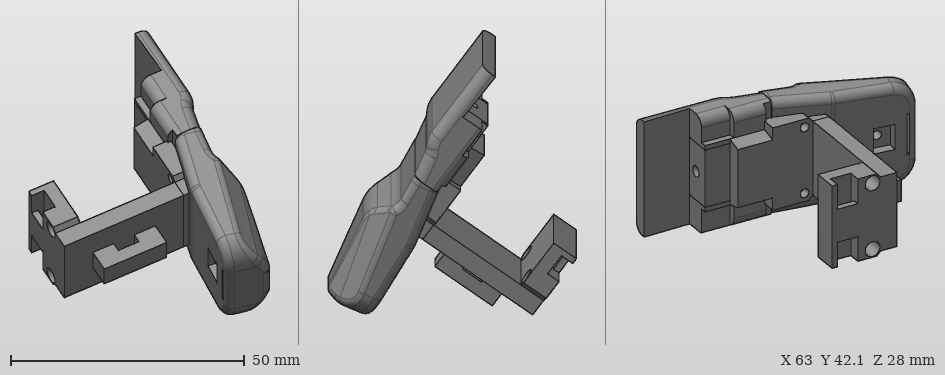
import cadquery as cq
import math


half_width = 14.0
handle_end_x = 28.4
plate_tip_y = -3.4
plate_root_y = -3.1
block_start_x = 11.4
block_front_y = -9.65
back_flat_end_x = 18.5
back_arc_mid = (20.6, -0.4)
back_arc_end = (22.3, -1.35)
joint_back_y = -2.65
back_kink_radius = 3.0
handle_back_radius = 2.6
front_radius = 2.4
recess_end_x = 18.5
recess_y = -8.1
recess_half_gap = 8.05
rebate_start_x = 26.5
rebate_y = -8.5

slide_half_width = 6.95

base_start_x = 17.5
base_wide_start_x = 26.1
base_front_y = -13.1
base_half_width = 10.0
dovetail_root_half = 8.0
dovetail_tip_half = 7.05

arm_start_x = 36.0
arm_end_x = 40.0
arm_half_width = 9.0
shoulder_x = arm_start_x - (base_half_width - arm_half_width)
arm_tip_y = -42.1
foot_start_x = 24.0
foot_depth = 6.0
screw_x = 34.0
screw_z = 8.0
base_hole_diameter = 2.1
foot_hole_diameter = 3.6
strap_slot_length = 5.0
foot_slot_start_x = 25.35
foot_slot_y = -39.1
foot_slot_width = 1.5
foot_slot_half_gap = 4.0
loop_width = 5.1
loop_start_y = -20.0
loop_end_y = -35.15
loop_half_height = 2.6
loop_slot_start_y = -25.1
loop_slot_width = 2.1

joint_front_y = -8.9
base_thickness = joint_front_y - base_front_y
front_slope = math.tan(math.radians(14.0))
bend_x = 41.6
bend_y = joint_front_y - front_slope * (bend_x - handle_end_x)
tip_front_slope = 0.1
bend_radius = 5.5
beyond_tip_x = 66.0
waist = (35.94, -3.6)
waist_radius = 4.5
crest = (41.9, 0.02)
crest_radius = 5.9
back_slope = 0.2
grip_front_radius = 2.0
grip_back_radius = 1.8
rim_lean = 0.25
flank_lean = 0.6

grip_tilt = 12.0
grip_origin = (handle_end_x, -5.7, 0.0)
grip_length = 33.84
taper_start = 0.8
taper_slope = 0.061
tip_corner_radius = 6.0
ridge_half_width = 8.4
flank_foot_half = 13.0
envelope_start = (-8.0, 6.1, 9.5)
envelope_end = (40.0, 0.95, 5.25)
outline_overlap = 5.0
outline_reach = 20.0
envelope_half = 16.0

pocket_x = 53.5
pocket_size = (5.0, 6.1)
pocket_depth = 2.4
cone_x = 52.85
slit_x = 59.05
slit_size = (0.6, 9.8)
slit_depth = 3.5

cone_tip_diameter = 0.01
grip_cone_diameter = 2.1
grip_cone_length = 6.0
slide_cone_diameter = 2.6
slide_cone_length = 12.0
slide_cone_y = -5.7

edge_tolerance = 0.1


def box(x_range, y_range, z_range):
    """Axis-aligned box from three (low, high) ranges."""
    sizes = [high - low for low, high in (x_range, y_range, z_range)]
    corner = (x_range[0], y_range[0], z_range[0])
    return cq.Workplane("XY").box(*sizes, centered=False).translate(corner)


def extrude_z(outline, half_height):
    """Extrude an XY outline evenly to both sides of the mid-plane."""
    return outline.extrude(half_height, both=True)


def cylinder_y(x, z, diameter, y_start, length):
    """Round cutter starting at y_start and running towards +Y."""
    direction = cq.Vector(0, 1, 0)
    return cq.Workplane(cq.Solid.makeCylinder(diameter / 2, length, cq.Vector(x, y_start, z), direction))


def tapered_cutter(diameter, length, mouth, direction):
    """Conical cutter that narrows from its mouth to a near point."""
    cone = cq.Solid.makeCone(diameter / 2, cone_tip_diameter / 2, length, mouth, direction)
    return cq.Workplane(cone)


def make_slide_space():
    """Block that fills the slot in the handle."""
    return box(
        (block_start_x, rebate_start_x),
        (block_front_y, plate_root_y),
        (-slide_half_width, slide_half_width),
    )


def make_slide():
    """Insert in the handle slot, with a tapered hole in its end face."""
    mouth = cq.Vector(block_start_x, slide_cone_y, 0)
    cone = tapered_cutter(slide_cone_diameter, slide_cone_length, mouth, cq.Vector(1, 0, 0))
    return make_slide_space().cut(cone)


def make_upper_recess():
    """Cutter for the upper recess, which leaves a rounded top corner on the block."""
    bulge = front_radius * math.sqrt(0.5)
    corner_y = recess_y + front_radius
    corner_z = half_width - front_radius
    return (
        cq.Workplane("YZ", origin=(block_start_x, 0, 0))
        .moveTo(block_front_y, recess_half_gap)
        .lineTo(recess_y, recess_half_gap)
        .lineTo(recess_y, corner_z)
        .threePointArc((corner_y - bulge, corner_z + bulge), (corner_y, half_width))
        .lineTo(block_front_y, half_width)
        .close()
        .extrude(recess_end_x - block_start_x)
    )


def make_handle(slide_space):
    """Flat plate with a thicker block, stepped to meet the base and slotted for the slide insert."""
    outline = (
        cq.Workplane("XY")
        .moveTo(0, 0)
        .lineTo(back_flat_end_x, 0)
        .threePointArc(back_arc_mid, back_arc_end)
        .lineTo(handle_end_x, joint_back_y)
        .lineTo(handle_end_x, block_front_y)
        .lineTo(block_start_x, block_front_y)
        .lineTo(block_start_x, plate_root_y)
        .lineTo(0, plate_tip_y)
        .close()
    )
    handle = extrude_z(outline, half_width)
    kink = cq.selectors.NearestToPointSelector((back_arc_end[0], back_arc_end[1], 0))
    handle = handle.edges("|Z").edges(kink).fillet(back_kink_radius)
    back_edges = cq.selectors.BoxSelector(
        (edge_tolerance, joint_back_y, -half_width - edge_tolerance),
        (handle_end_x - edge_tolerance, edge_tolerance, half_width + edge_tolerance),
    )
    handle = handle.faces("|Z").edges(back_edges).fillet(handle_back_radius)
    handle = handle.faces("<Y").edges("|X").fillet(front_radius)

    lower_recess = box(
        (block_start_x, recess_end_x), (block_front_y, recess_y), (-half_width, -recess_half_gap)
    )
    rebate = box((rebate_start_x, handle_end_x), (block_front_y, rebate_y), (-half_width, half_width))
    return handle.cut(lower_recess).cut(make_upper_recess()).cut(rebate).cut(slide_space)


def tilted_plane(distance):
    """Plane across the tilted grip axis: local x is -Z, local y is the grip's back direction."""
    angle = math.radians(grip_tilt)
    axis = cq.Vector(math.cos(angle), -math.sin(angle), 0)
    return cq.Plane(cq.Vector(*grip_origin) + axis * distance, (0, 0, -1), axis)


def make_grip_profile():
    """Side profile of the grip, with its waist, crest and front bend rounded."""
    profile = (
        cq.Workplane("XY")
        .moveTo(handle_end_x, joint_back_y)
        .lineTo(*waist)
        .lineTo(*crest)
        .lineTo(beyond_tip_x, crest[1] - back_slope * (beyond_tip_x - crest[0]))
        .lineTo(beyond_tip_x, bend_y - tip_front_slope * (beyond_tip_x - bend_x))
        .lineTo(bend_x, bend_y)
        .lineTo(handle_end_x, joint_front_y)
        .close()
    )
    body = extrude_z(profile, half_width)
    for (x, y), radius in ((waist, waist_radius), (crest, crest_radius), ((bend_x, bend_y), bend_radius)):
        corner = cq.selectors.NearestToPointSelector((x, y, 0))
        body = body.edges("|Z").edges(corner).fillet(radius)
    return body


def make_grip_outline():
    """Tapered outline with round tip corners, square to the tilted grip axis."""
    tip_half_width = half_width - taper_slope * (grip_length - taper_start)
    plane = cq.Plane(grip_origin, tilted_plane(0).zDir, tilted_plane(0).yDir)
    outline = (
        cq.Workplane(plane)
        .moveTo(-outline_overlap, half_width)
        .lineTo(taper_start, half_width)
        .lineTo(grip_length, tip_half_width)
        .lineTo(grip_length, -tip_half_width)
        .lineTo(taper_start, -half_width)
        .lineTo(-outline_overlap, -half_width)
        .close()
        .extrude(outline_reach, both=True)
    )
    tip_edges = outline.faces(cq.selectors.DirectionMinMaxSelector(plane.xDir))
    return tip_edges.edges(cq.selectors.ParallelDirSelector(plane.zDir)).fillet(tip_corner_radius)


def add_envelope_section(sketch, flank_foot, ridge_height):
    """Cross-section with straight flanks that run tangent into an arched crown."""
    lean = (ridge_height - flank_foot) / (flank_foot_half - ridge_half_width)
    crown_height = ridge_height + ridge_half_width * math.tan(math.atan(lean) / 2)
    outer_height = ridge_height - lean * (envelope_half - ridge_half_width)
    return (
        sketch.moveTo(-envelope_half, -outline_reach)
        .lineTo(-envelope_half, outer_height)
        .lineTo(-ridge_half_width, ridge_height)
        .threePointArc((0, crown_height), (ridge_half_width, ridge_height))
        .lineTo(envelope_half, outer_height)
        .lineTo(envelope_half, -outline_reach)
        .close()
    )


def make_back_envelope():
    """Straight loft along the grip that shapes its leaning flanks and crowned back."""
    start, end = envelope_start, envelope_end
    sections = add_envelope_section(cq.Workplane(tilted_plane(start[0])), *start[1:])
    sections = add_envelope_section(sections.workplane(offset=end[0] - start[0]), *end[1:])
    return sections.loft(ruled=True)


def shared_edges(faces, others):
    """Edges where a face of one group meets a face of the other."""
    other_edges = [edge for face in others for edge in face.Edges()]
    return [edge for face in faces for edge in face.Edges() if any(edge.isSame(x) for x in other_edges)]


def round_grip(grip):
    """Round the rim of the grip, front and back, and the edges that lead up to the crest."""
    back_direction = tilted_plane(0).yDir
    front, rim, back = [], [], []
    for face in grip.Faces():
        lean = face.normalAt().dot(back_direction)
        if lean < -rim_lean:
            front.append(face)
        elif lean > rim_lean:
            back.append(face)
        elif face.Center().x > handle_end_x + edge_tolerance:
            rim.append(face)
    rise = [face for face in back if face.normalAt().x < -rim_lean]
    flanks = [face for face in back if abs(face.normalAt().z) > flank_lean]
    rounded = grip.fillet(grip_front_radius, shared_edges(front, rim))
    return rounded.fillet(grip_back_radius, shared_edges(back, rim) + shared_edges(rise, flanks))


def tip_front_plane(x):
    """Plane on the front face of the grip tip at x: local x along the grip, normal into it."""
    y = bend_y - tip_front_slope * (x - bend_x)
    return cq.Plane((x, y, 0), (1, -tip_front_slope, 0), (tip_front_slope, 1, 0))


def tip_front_cutter(x, size, depth):
    """Rectangular cutter sunk square into the front face of the grip tip."""
    return cq.Workplane(tip_front_plane(x)).rect(*size).extrude(depth)


def make_grip():
    """Tilted grip with a pocket, a tapered hole in its floor and a slit near the tip."""
    grip = make_grip_profile().intersect(make_grip_outline()).intersect(make_back_envelope())
    grip = cq.Workplane(round_grip(grip.val()))
    pocket = tip_front_cutter(pocket_x, pocket_size, pocket_depth)
    slit = tip_front_cutter(slit_x, slit_size, slit_depth)
    inward = tip_front_plane(cone_x).zDir
    cone_mouth = tip_front_plane(cone_x).origin + inward * pocket_depth
    cone = tapered_cutter(grip_cone_diameter, grip_cone_length, cone_mouth, inward)
    return grip.cut(pocket).cut(slit).cut(cone)


def make_base():
    """Dovetail tongue and wide plate, whose back lies against the sloping front of the grip."""
    dovetail = (
        cq.Workplane("YZ", origin=(base_start_x, 0, 0))
        .moveTo(block_front_y, -dovetail_root_half)
        .lineTo(block_front_y, dovetail_root_half)
        .lineTo(base_front_y, dovetail_tip_half)
        .lineTo(base_front_y, -dovetail_tip_half)
        .close()
        .extrude(base_wide_start_x - base_start_x)
    )
    side = (
        cq.Workplane("XY")
        .moveTo(base_wide_start_x, base_front_y)
        .lineTo(base_wide_start_x, block_front_y)
        .lineTo(rebate_start_x, block_front_y)
        .lineTo(rebate_start_x, joint_front_y)
        .lineTo(handle_end_x, joint_front_y)
        .lineTo(arm_end_x, joint_front_y - front_slope * (arm_end_x - handle_end_x))
        .lineTo(arm_end_x, base_front_y)
        .close()
    )
    plate = extrude_z(side, base_half_width).intersect(
        shouldered_plate(base_wide_start_x, base_front_y, joint_front_y)
    )
    base = plate.union(dovetail)
    for z in (-screw_z, screw_z):
        base = base.cut(cylinder_y(screw_x, z, base_hole_diameter, base_front_y, base_thickness))
    return base


def shouldered_plate(start_x, front_y, back_y):
    """Plate along X that narrows through 45-degree shoulders to the width of the arm."""
    return (
        cq.Workplane("XZ", origin=(0, back_y, 0))
        .moveTo(start_x, -base_half_width)
        .lineTo(shoulder_x, -base_half_width)
        .lineTo(arm_start_x, -arm_half_width)
        .lineTo(arm_end_x, -arm_half_width)
        .lineTo(arm_end_x, arm_half_width)
        .lineTo(arm_start_x, arm_half_width)
        .lineTo(shoulder_x, base_half_width)
        .lineTo(start_x, base_half_width)
        .close()
        .extrude(back_y - front_y)
    )


def make_arm():
    """Arm with a strap loop on its outer side and a slotted foot at its tip."""
    foot_back_y = arm_tip_y + foot_depth
    arm = box((arm_start_x, arm_end_x), (arm_tip_y, base_front_y), (-arm_half_width, arm_half_width))
    loop = box(
        (arm_end_x, arm_end_x + loop_width),
        (loop_end_y, loop_start_y),
        (-loop_half_height, loop_half_height),
    )
    loop_slot = box(
        (arm_end_x, arm_end_x + loop_slot_width),
        (loop_slot_start_y - strap_slot_length, loop_slot_start_y),
        (-loop_half_height, loop_half_height),
    )
    arm = arm.union(shouldered_plate(foot_start_x, arm_tip_y, foot_back_y)).union(loop.cut(loop_slot))

    slot_x = (foot_slot_start_x, foot_slot_start_x + strap_slot_length)
    slot_y = (foot_slot_y - foot_slot_width, foot_slot_y)
    arm = arm.cut(box(slot_x, slot_y, (-base_half_width, base_half_width)))
    slot_mouth = box(slot_x, (arm_tip_y, foot_slot_y), (foot_slot_half_gap, base_half_width))
    arm = arm.cut(slot_mouth).cut(slot_mouth.mirror("XY"))
    for z in (-screw_z, screw_z):
        arm = arm.cut(cylinder_y(screw_x, z, foot_hole_diameter, arm_tip_y, foot_depth))
    return arm


slide = make_slide()
handle = make_handle(make_slide_space())
grip = make_grip()
base = make_base()
arm = make_arm()
result = cq.Compound.makeCompound([slide.val(), handle.val(), grip.val(), base.val(), arm.val()])